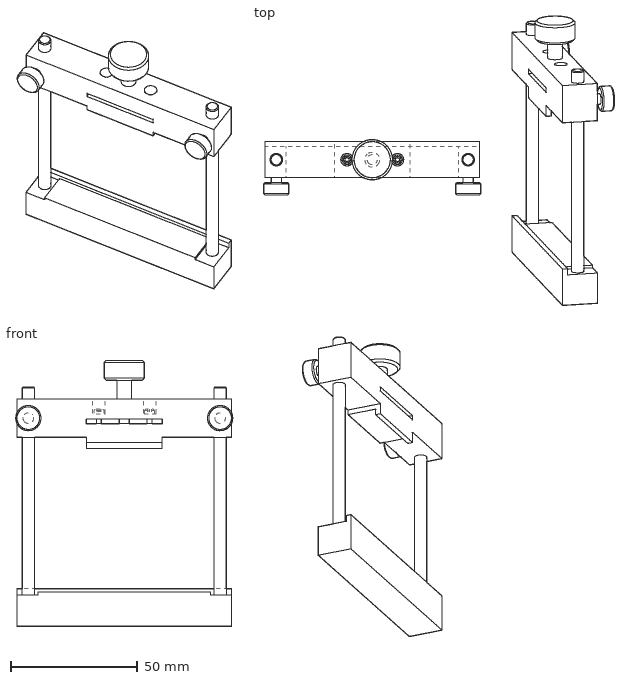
import cadquery as cq

total_height = 105.4
bar_length = 85.2
back_y = 7.3
lip_thickness = 2.1

base_front_y = -7.1
base_step_z = 12.4
base_seat_z = 13.5
base_lip_z = 15.0
base_step_length = 8.4

bar_front_y = -7.0
bar_bottom_z = 74.8
bar_top_z = 90.1
bar_middle_z = (bar_bottom_z + bar_top_z) / 2
slot_length = 30.0
slot_bottom_z = 80.3
slot_top_z = 82.1
jaw_seat_z = 72.8
jaw_lip_z = 70.4

rod_spacing = 76.0
rod_diameter = 5.0
rod_top_z = 94.9
rod_chamfer = 0.4
rod_positions = (-rod_spacing / 2, rod_spacing / 2)

screw_knob_diameter = 16.0
screw_knob_height = 8.0
screw_knob_top_chamfer = 0.8
screw_knob_bottom_chamfer = 1.0
screw_shaft_diameter = 5.9
screw_tip_diameter = 4.0

lock_knob_diameter = 10.0
lock_knob_thickness = 5.0
lock_knob_chamfer = 0.5
lock_shaft_diameter = 4.2
front_y = -14.0

cap_screw_spacing = 20.0
cap_screw_diameter = 2.0
cap_bore_diameter = 5.0
cap_bore_depth = 6.0
cap_head_diameter = 3.8
cap_head_height = 2.0
cap_head_chamfer = 0.5
cap_socket_width = 1.5
cap_socket_depth = 1.1


def block(length, x, y_range, z_range):
    """Rectangular block centred on x and spanning the given Y and Z ranges."""
    depth = y_range[1] - y_range[0]
    height = z_range[1] - z_range[0]
    corner = (x - length / 2, y_range[0], z_range[0])
    return cq.Workplane("XY").box(length, depth, height, centered=False).translate(corner)


def cylinder(diameter, x, bottom_z, top_z):
    """Vertical cylinder in the plane Y = 0."""
    return cq.Workplane("XY", origin=(x, 0, bottom_z)).circle(diameter / 2).extrude(top_z - bottom_z)


def make_base():
    lip_front_y = back_y - lip_thickness
    seat_length = bar_length - 2 * base_step_length
    body = block(bar_length, 0, (base_front_y, back_y), (0, base_step_z))
    seat = block(seat_length, 0, (base_front_y, back_y), (0, base_seat_z))
    lip = block(bar_length, 0, (lip_front_y, back_y), (0, base_lip_z))
    return body.union(seat).union(lip)


def make_upper_bar():
    lip_front_y = back_y - lip_thickness
    bar = block(bar_length, 0, (bar_front_y, back_y), (bar_bottom_z, bar_top_z))
    jaw = block(slot_length, 0, (bar_front_y, back_y), (jaw_seat_z, slot_bottom_z))
    lip = block(slot_length, 0, (lip_front_y, back_y), (jaw_lip_z, slot_bottom_z))
    slot = block(slot_length, 0, (bar_front_y, back_y), (slot_bottom_z, slot_top_z))
    return bar.union(jaw).union(lip).cut(slot)


def make_rod(x):
    return cylinder(rod_diameter, x, 0, rod_top_z).faces(">Z").chamfer(rod_chamfer)


def make_clamp_screw():
    knob_bottom_z = total_height - screw_knob_height
    knob = cylinder(screw_knob_diameter, 0, knob_bottom_z, total_height)
    knob = knob.faces(">Z").chamfer(screw_knob_top_chamfer)
    knob = knob.faces("<Z").chamfer(screw_knob_bottom_chamfer)
    shaft = cylinder(screw_shaft_diameter, 0, slot_top_z, knob_bottom_z)
    tip = cylinder(screw_tip_diameter, 0, slot_bottom_z, slot_top_z)
    return knob.union(shaft).union(tip)


def make_lock_knob(x):
    front = cq.Workplane("XZ", origin=(x, front_y, bar_middle_z))
    knob = front.circle(lock_knob_diameter / 2).extrude(-lock_knob_thickness)
    knob = knob.faces("<Y or >Y").chamfer(lock_knob_chamfer)
    shaft = front.circle(lock_shaft_diameter / 2).extrude(front_y)
    return knob.union(shaft)


def make_cap_screw(x):
    head_bottom_z = bar_top_z - cap_bore_depth
    head_top_z = head_bottom_z + cap_head_height
    head = cylinder(cap_head_diameter, x, head_bottom_z, head_top_z)
    head = head.faces(">Z").chamfer(cap_head_chamfer)
    socket = (
        cq.Workplane("XY", origin=(x, 0, head_top_z))
        .polygon(6, cap_socket_width, circumscribed=True)
        .extrude(-cap_socket_depth)
    )
    shank = cylinder(cap_screw_diameter, x, slot_bottom_z, head_bottom_z)
    return head.cut(socket).union(shank)


result = make_base().union(make_upper_bar()).union(make_clamp_screw())

for rod_x in rod_positions:
    result = result.union(make_rod(rod_x)).union(make_lock_knob(rod_x))

for cap_x in (-cap_screw_spacing / 2, cap_screw_spacing / 2):
    bore = cylinder(cap_bore_diameter, cap_x, bar_top_z - cap_bore_depth, bar_top_z)
    result = result.cut(bore).union(make_cap_screw(cap_x))